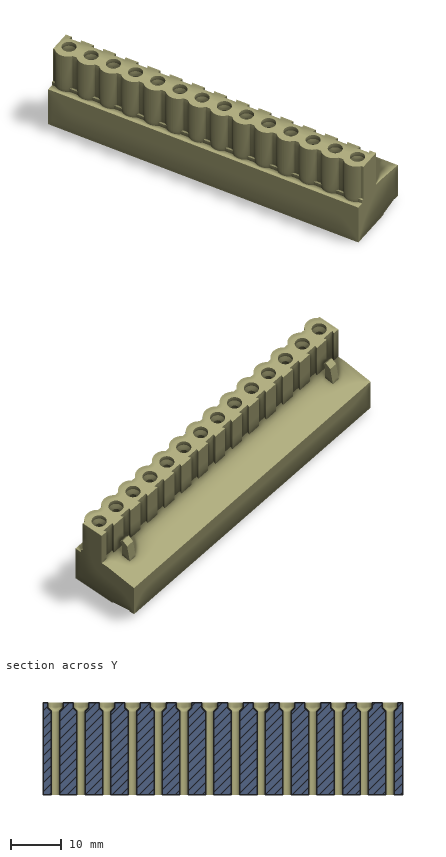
import cadquery as cq
import math


length = 71
depth = 15.35
height = 18.2

pole_count = 14
pole_row_span = 66.05
pole_pitch = pole_row_span / (pole_count - 1)
first_pole_x = 2.4
pole_xs = [first_pole_x + i * pole_pitch for i in range(pole_count)]
gap_xs = [x + pole_pitch / 2 for x in pole_xs]

ledge_z = 9.0
deck_z = 9.9
slope_y = 8.4
rear_top_z = 8.8
rear_bottom_z = 0.85
rear_lip_y = 14.2
rear_lip_z = 1.1
bottom_step_y = 9.9
bottom_step_z = 0.3
bottom_front_y = 9.65

row_front_y = 1.9
row_rear_y = 6.9
crest_y = 0.9
crest_half_width = 0.2
lobe_half_width = 2.05

foot_width = 1.85
foot_front_y = 1.5
foot_xs = [first_pole_x - pole_pitch / 2] + gap_xs

hole_y = 4.0
mouth_radius = 1.5
mouth_depth = 1.0
bore_radius = 0.8
cone_depth = mouth_radius - bore_radius

slot_depth = 0.65
slot_mouth_width = 2.1
slot_floor_width = 2.6

hook_width = 1.8
hook_root_front_y = 8.5
hook_root_rear_y = 10.65
hook_shoulder_y = 9.9
hook_shoulder_z = 13.55
hook_peak_y = 8.7
hook_peak_z = 14.4
hook_tip_y = 8.1
hook_tip_z = 13.7
hook_notch_z = 13.1
hook_xs = [gap_xs[0], gap_xs[-2]]


def make_housing():
    profile = [
        (0, 0),
        (0, ledge_z),
        (row_front_y, ledge_z),
        (row_front_y, deck_z),
        (slope_y, deck_z),
        (depth, rear_top_z),
        (depth, rear_bottom_z),
        (rear_lip_y, rear_bottom_z),
        (rear_lip_y, rear_lip_z),
        (bottom_step_y, bottom_step_z),
        (bottom_front_y, 0),
    ]
    return cq.Workplane("YZ").polyline(profile).close().extrude(length)


def make_tower_row():
    return (
        cq.Workplane("XY")
        .box(length, row_rear_y - row_front_y, height - ledge_z, centered=False)
        .translate((0, row_front_y, ledge_z))
    )


def make_lobe(x):
    """Rounded front of one pole: two arcs about a common axis and a flat crest."""
    axis_y = (
        row_front_y**2 + lobe_half_width**2 - crest_y**2 - crest_half_width**2
    ) / (2 * (row_front_y - crest_y))
    radius = math.hypot(lobe_half_width, axis_y - row_front_y)
    mid_x = (crest_half_width + lobe_half_width) / 2
    mid_y = axis_y - math.sqrt(radius**2 - mid_x**2)
    return (
        cq.Workplane("XY", origin=(x, 0, ledge_z))
        .moveTo(-lobe_half_width, row_front_y)
        .threePointArc((-mid_x, mid_y), (-crest_half_width, crest_y))
        .lineTo(crest_half_width, crest_y)
        .threePointArc((mid_x, mid_y), (lobe_half_width, row_front_y))
        .lineTo(lobe_half_width, hole_y)
        .lineTo(-lobe_half_width, hole_y)
        .close()
        .extrude(height - ledge_z)
    )


def make_foot(x):
    """Block at the base of a valley, trimmed at the ends of the housing."""
    left = max(x - foot_width / 2, 0)
    right = min(x + foot_width / 2, length)
    return (
        cq.Workplane("XY")
        .box(right - left, hole_y - foot_front_y, deck_z - ledge_z, centered=False)
        .translate((left, foot_front_y, ledge_z))
    )


def make_hole(x):
    cone_top_z = height - mouth_depth
    cone_bottom_z = cone_top_z - cone_depth
    profile = [
        (0, 0),
        (bore_radius, 0),
        (bore_radius, cone_bottom_z),
        (mouth_radius, cone_top_z),
        (mouth_radius, height),
        (0, height),
    ]
    return (
        cq.Workplane("XZ", origin=(x, hole_y, 0))
        .polyline(profile)
        .close()
        .revolve(360, (0, 0), (0, 1))
    )


def make_slot(x):
    floor_y = row_rear_y - slot_depth
    profile = [
        (-slot_mouth_width / 2, row_rear_y),
        (-slot_floor_width / 2, floor_y),
        (slot_floor_width / 2, floor_y),
        (slot_mouth_width / 2, row_rear_y),
    ]
    return (
        cq.Workplane("XY", origin=(x, 0, deck_z))
        .polyline(profile)
        .close()
        .extrude(height - deck_z)
    )


def make_hook(x):
    profile = [
        (hook_root_front_y, ledge_z),
        (hook_root_rear_y, ledge_z),
        (hook_shoulder_y, hook_shoulder_z),
        (hook_peak_y, hook_peak_z),
        (hook_tip_y, hook_tip_z),
        (hook_root_front_y, hook_notch_z),
    ]
    return (
        cq.Workplane("YZ", origin=(x - hook_width / 2, 0, 0))
        .polyline(profile)
        .close()
        .extrude(hook_width)
    )


result = make_housing().union(make_tower_row())
for x in pole_xs:
    result = result.union(make_lobe(x))
for x in foot_xs:
    result = result.union(make_foot(x))
for x in hook_xs:
    result = result.union(make_hook(x))
for x in pole_xs:
    result = result.cut(make_hole(x)).cut(make_slot(x))